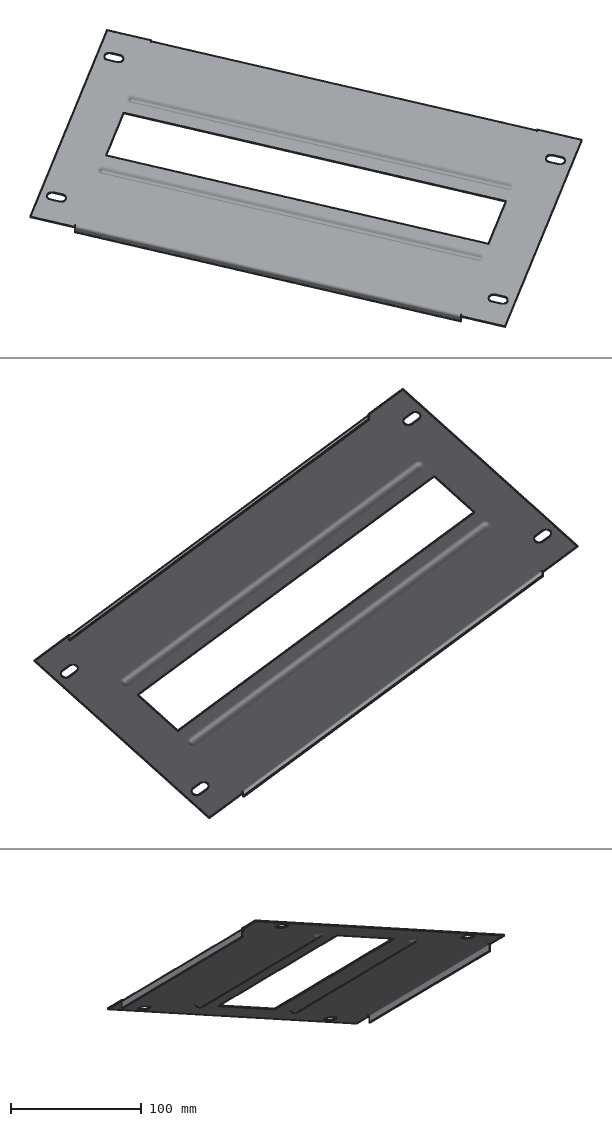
import cadquery as cq
import math

length = 380.0
width = 199.0
height = 6.5
sheet = 1.0

flange_length = 309.0
bend_radius = 2.0

window_length = 306.0
window_width = 45.5

slot_length = 15.0
slot_width = 7.5
slot_x = 176.7
slot_y = 74.5

groove_y = 38.0
groove_straight = 301.7
groove_radius = 5.0
groove_depth = 2.3
groove_bottom_half = 2.0

groove_angle = 2 * math.atan(groove_depth / groove_radius)
rim_radius = (groove_radius - groove_bottom_half) / math.sin(groove_angle)
bottom_radius = groove_bottom_half / math.sin(groove_angle)


def make_plate():
    """Flat sheet with its top face at Z = 0, notched where the flanges fold down."""
    plate = cq.Workplane("XY").box(length, width, sheet, centered=(True, True, False))
    plate = plate.translate((0, 0, -sheet))
    for side in (-1, 1):
        bend_strip = cq.Workplane("XY").box(flange_length, 2 * bend_radius, 4 * sheet)
        plate = plate.cut(bend_strip.translate((0, side * width / 2, 0)))
    return plate


def make_flange():
    """Bend and downward lip along the -Y edge."""
    outer_y = -width / 2
    inner_radius = bend_radius - sheet
    bend_y = outer_y + bend_radius
    diagonal = 0.5 ** 0.5
    profile = (
        cq.Workplane("YZ", origin=(-flange_length / 2, 0, 0))
        .moveTo(bend_y, 0)
        .threePointArc(
            (bend_y - bend_radius * diagonal, -bend_radius * (1 - diagonal)),
            (outer_y, -bend_radius),
        )
        .lineTo(outer_y, -height)
        .lineTo(outer_y + sheet, -height)
        .lineTo(outer_y + sheet, -bend_radius)
        .threePointArc(
            (bend_y - inner_radius * diagonal, -bend_radius + inner_radius * diagonal),
            (bend_y, -sheet),
        )
        .close()
    )
    return profile.extrude(flange_length)


def arc_point(center, radius, angle):
    """Point on an arc, with the angle measured from +Z towards -Y."""
    return (center[0] - radius * math.sin(angle), center[1] + radius * math.cos(angle))


def groove_half_profile(start_x, offset):
    """Half section of the groove on its +Y side, moved outward by offset through the metal."""
    rim_center = (groove_radius, -rim_radius)
    rim_offset_radius = rim_radius - offset
    bottom_center = (0, bottom_radius - groove_depth)
    bottom_offset_radius = bottom_radius + offset
    return (
        cq.Workplane("YZ", origin=(start_x, 0, 0))
        .moveTo(0, -offset)
        .lineTo(groove_radius, -offset)
        .threePointArc(
            arc_point(rim_center, rim_offset_radius, groove_angle / 2),
            arc_point(rim_center, rim_offset_radius, groove_angle),
        )
        .threePointArc(
            arc_point(bottom_center, -bottom_offset_radius, groove_angle / 2),
            arc_point(bottom_center, -bottom_offset_radius, 0),
        )
        .close()
    )


def make_groove_body(offset):
    """Groove volume along X: offset 0 is the hollow, offset sheet its outer skin."""
    start_x = -groove_straight / 2
    half_bar = groove_half_profile(start_x, offset).extrude(groove_straight)
    body = half_bar.union(half_bar.mirror("XZ"))
    for end_x in (start_x, -start_x):
        round_end = groove_half_profile(end_x, offset).revolve(360, (0, 0, 0), (0, 1, 0))
        body = body.union(round_end)
    return body


result = make_plate()

flange = make_flange()
result = result.union(flange).union(flange.mirror("XZ"))

groove_skin = make_groove_body(sheet)
groove_hollow = make_groove_body(0)
for y in (-groove_y, groove_y):
    result = result.union(groove_skin.translate((0, y, 0)))
    result = result.cut(groove_hollow.translate((0, y, 0)))

window = cq.Workplane("XY").box(window_length, window_width, 4 * sheet)
result = result.cut(window)

slot_centers = [(x, y) for x in (-slot_x, slot_x) for y in (-slot_y, slot_y)]
slots = cq.Workplane("XY").pushPoints(slot_centers).slot2D(slot_length, slot_width)
result = result.cut(slots.extrude(-sheet))